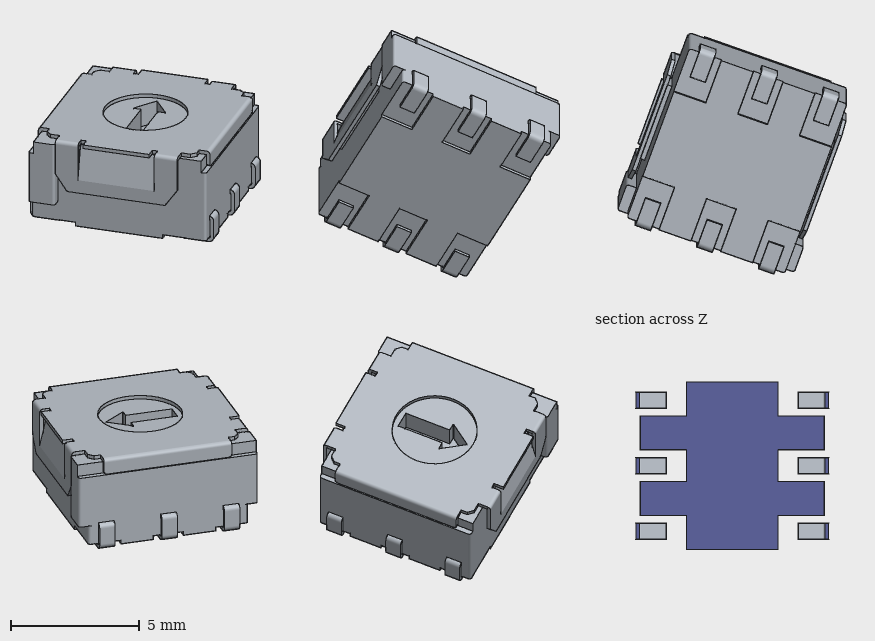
import cadquery as cq

TOTAL_LENGTH = 7.5
TOTAL_WIDTH = 7.3
TOTAL_HEIGHT = 3.75
SHEET = 0.15

BODY_LENGTH = 7.15
BODY_WIDTH = 6.5
BODY_BOTTOM = 0.05
BODY_TOP = TOTAL_HEIGHT - SHEET
LEDGE_Z = 3.11
BROAD_END_BOTTOM = 1.01
CORNER_RADIUS = 0.105

COVER_LENGTH = 7.035
COVER_WIDTH = 7.2
COVER_BEND_RADIUS = SHEET
END_FLANGE_WIDTH = 5.205
END_FLANGE_CHAMFER = 0.06
SIDE_FLANGE_LENGTH = 4.99
SIDE_FLANGE_BOTTOM = 1.66
SIDE_CHAMFER_X = 0.49
SIDE_CHAMFER_Z = 0.7
CORNER_STEP_X = 3.07
CORNER_STEP_Y = 3.07
CORNER_CHAMFER = 0.2

WINDOW_LENGTH = 3.12
WINDOW_SLOPE_BOTTOM = 2.2
WINDOW_LIP_HEIGHT = 0.19
WINDOW_SLOPE_INSET = 0.33
NOTCH_WIDTH = 0.2
NOTCH_DEPTH = 0.4

DIAL_DIAMETER = 3.3
ARROW_TIP_Y = 1.4
ARROW_NECK_Y = 0.49
ARROW_HEAD_WIDTH = 1.29
ARROW_HEAD_EDGE = 0.03
ARROW_STEM_WIDTH = 0.68
ARROW_DEPTH = 0.9

TERMINAL_PITCH = 2.54
TERMINAL_WIDTH = 0.63
TERMINAL_HEIGHT = 1.1
FOOT_BEND_RADIUS = 0.225
HOOK_BEND_RADIUS = 0.2
FOOT_END_X = 2.56
HOOK_END_X = 3.375
RECESS_END_X = 1.785
RECESS_TOP = 0.21
RECESS_WIDTH = 1.22

COVER_INNER_LENGTH = COVER_LENGTH - 2 * SHEET


def block(x0, x1, y0, y1, z0, z1):
    """Box between the given limits."""
    return cq.Workplane("XY").box(x1 - x0, y1 - y0, z1 - z0, centered=False).translate((x0, y0, z0))


def centred_block(length, width, z0, z1):
    """Box centred on the Z axis."""
    return block(-length / 2, length / 2, -width / 2, width / 2, z0, z1)


def both_sides(shape, plane):
    """The shape joined with its mirror image."""
    return shape.union(shape.mirror(plane))


def make_housing():
    """Housing with a broad -X end and a shoulder along both ends."""
    main = centred_block(BODY_LENGTH, BODY_WIDTH, BODY_BOTTOM, BODY_TOP).edges("|Z").fillet(CORNER_RADIUS)
    broad_end = block(-BODY_LENGTH / 2, -SIDE_FLANGE_LENGTH / 2, -TOTAL_WIDTH / 2, TOTAL_WIDTH / 2,
                      BROAD_END_BOTTOM, BODY_TOP).edges("|Z").fillet(CORNER_RADIUS)
    shoulder = block(COVER_INNER_LENGTH / 2, BODY_LENGTH, -TOTAL_WIDTH, TOTAL_WIDTH, LEDGE_Z, TOTAL_HEIGHT)
    return main.union(broad_end).cut(both_sides(shoulder, "YZ"))


def make_side_flanges():
    """Cover sheet bent down over the -Y and +Y sides, clear of the housing."""
    half = SIDE_FLANGE_LENGTH / 2
    chamfer_top = SIDE_FLANGE_BOTTOM + SIDE_CHAMFER_Z
    outline = [
        (-half, TOTAL_HEIGHT),
        (-half, chamfer_top),
        (-half + SIDE_CHAMFER_X, SIDE_FLANGE_BOTTOM),
        (half - SIDE_CHAMFER_X, SIDE_FLANGE_BOTTOM),
        (half, chamfer_top),
        (half, TOTAL_HEIGHT),
    ]
    flanges = cq.Workplane("XZ").polyline(outline).close().extrude(COVER_WIDTH / 2, both=True)
    flanges = flanges.edges("|X and >Z").fillet(COVER_BEND_RADIUS)
    inside = centred_block(SIDE_FLANGE_LENGTH, COVER_WIDTH - 2 * SHEET, 0, BODY_TOP)
    return flanges.cut(inside)


def make_end_flanges():
    """Top of the cover bent down over both ends."""
    strip = centred_block(COVER_LENGTH, END_FLANGE_WIDTH, LEDGE_Z, TOTAL_HEIGHT)
    strip = strip.edges("|Y and >Z").fillet(COVER_BEND_RADIUS)
    return strip.edges("|X and <Z").chamfer(END_FLANGE_CHAMFER)


def cut_corner_clearances(part):
    """Stepped clearances that bare the top of the housing at each corner."""
    clear_x = TOTAL_LENGTH / 2
    clear_y = TOTAL_WIDTH / 2
    outline = [
        (clear_x, END_FLANGE_WIDTH / 2),
        (CORNER_STEP_X, END_FLANGE_WIDTH / 2),
        (CORNER_STEP_X, CORNER_STEP_Y - CORNER_CHAMFER),
        (CORNER_STEP_X - CORNER_CHAMFER, CORNER_STEP_Y),
        (SIDE_FLANGE_LENGTH / 2, CORNER_STEP_Y),
        (SIDE_FLANGE_LENGTH / 2, clear_y),
        (clear_x, clear_y),
    ]
    corner = cq.Workplane("XY").workplane(offset=BODY_TOP).polyline(outline).close().extrude(SHEET)
    return part.cut(both_sides(both_sides(corner, "YZ"), "XZ"))


def make_latch_blocks():
    """Housing blocks that fill the window in each side flange."""
    bottom = WINDOW_SLOPE_BOTTOM - WINDOW_LIP_HEIGHT
    return centred_block(WINDOW_LENGTH, COVER_WIDTH, bottom, BODY_TOP)


def make_centre_tongues():
    """Straight, unbent middle part of the cover's long edges."""
    length = WINDOW_LENGTH - 2 * NOTCH_WIDTH
    return centred_block(length, COVER_WIDTH, BODY_TOP, TOTAL_HEIGHT)


def cut_latch_slopes(part):
    """Slope each latch block back under its tongue and notch the cover at both tongue ends."""
    face_y = COVER_WIDTH / 2
    slope = [
        (face_y, WINDOW_SLOPE_BOTTOM),
        (face_y - WINDOW_SLOPE_INSET, BODY_TOP),
        (face_y, BODY_TOP),
    ]
    above_slope = cq.Workplane("YZ").polyline(slope).close().extrude(WINDOW_LENGTH / 2, both=True)
    notch = block(WINDOW_LENGTH / 2 - NOTCH_WIDTH, WINDOW_LENGTH / 2, face_y - NOTCH_DEPTH, face_y,
                  BODY_TOP, TOTAL_HEIGHT)
    return part.cut(both_sides(above_slope.union(both_sides(notch, "YZ")), "XZ"))


def cut_dial(part):
    """Round opening in the cover with an arrow-shaped driver slot below it."""
    opening = cq.Workplane("XY").workplane(offset=BODY_TOP).circle(DIAL_DIAMETER / 2).extrude(SHEET)
    head = ARROW_HEAD_WIDTH / 2
    stem = ARROW_STEM_WIDTH / 2
    outline = [
        (0, ARROW_TIP_Y),
        (head, ARROW_NECK_Y + ARROW_HEAD_EDGE),
        (head, ARROW_NECK_Y),
        (stem, ARROW_NECK_Y),
        (stem, -ARROW_TIP_Y),
        (-stem, -ARROW_TIP_Y),
        (-stem, ARROW_NECK_Y),
        (-head, ARROW_NECK_Y),
        (-head, ARROW_NECK_Y + ARROW_HEAD_EDGE),
    ]
    arrow = cq.Workplane("XY").workplane(offset=BODY_TOP).polyline(outline).close().extrude(-ARROW_DEPTH)
    return part.cut(opening).cut(arrow)


def cut_terminal_recesses(part):
    """Shallow recesses in the underside around the terminal feet."""
    half = RECESS_WIDTH / 2
    outer_start = TERMINAL_PITCH - half
    middle = block(RECESS_END_X, TOTAL_LENGTH / 2, -half, half, BODY_BOTTOM, RECESS_TOP)
    outer = block(RECESS_END_X, TOTAL_LENGTH / 2, outer_start, BODY_WIDTH / 2, BODY_BOTTOM, RECESS_TOP)
    recesses = middle.union(both_sides(outer, "XZ"))
    return part.cut(both_sides(recesses, "YZ"))


def round_inner_bend(strip, x, z, radius):
    """Fillet the strip's edge along Y that lies at the given X and Z."""
    edge = strip.edges("|Y").edges(cq.selectors.NearestToPointSelector((x, 0, z)))
    return edge.fillet(radius)


def make_terminal(y):
    """C-shaped +X terminal, hooked into the housing at its top."""
    outer_x = TOTAL_LENGTH / 2
    inner_x = outer_x - SHEET
    outline = [
        (FOOT_END_X, 0),
        (outer_x, 0),
        (outer_x, TERMINAL_HEIGHT),
        (HOOK_END_X, TERMINAL_HEIGHT),
        (HOOK_END_X, TERMINAL_HEIGHT - SHEET),
        (inner_x, TERMINAL_HEIGHT - SHEET),
        (inner_x, SHEET),
        (FOOT_END_X, SHEET),
    ]
    strip = cq.Workplane("XZ").polyline(outline).close().extrude(TERMINAL_WIDTH / 2, both=True)
    strip = strip.edges("|Y and >X").edges("<Z").fillet(FOOT_BEND_RADIUS)
    strip = strip.edges("|Y and >X").edges(">Z").fillet(HOOK_BEND_RADIUS)
    strip = round_inner_bend(strip, inner_x, SHEET, FOOT_BEND_RADIUS - SHEET)
    strip = round_inner_bend(strip, inner_x, TERMINAL_HEIGHT - SHEET, HOOK_BEND_RADIUS - SHEET)
    return strip.translate((0, y, 0))


part = make_housing()
part = part.union(make_side_flanges())
part = part.union(make_latch_blocks())
part = part.union(make_end_flanges())
part = part.union(centred_block(2 * CORNER_STEP_X, 2 * CORNER_STEP_Y, BODY_TOP, TOTAL_HEIGHT))
part = part.union(make_centre_tongues())
part = cut_corner_clearances(part)
part = cut_latch_slopes(part)
part = cut_dial(part)
part = cut_terminal_recesses(part)
for row in (-1, 0, 1):
    part = part.union(both_sides(make_terminal(row * TERMINAL_PITCH), "YZ"))

result = part